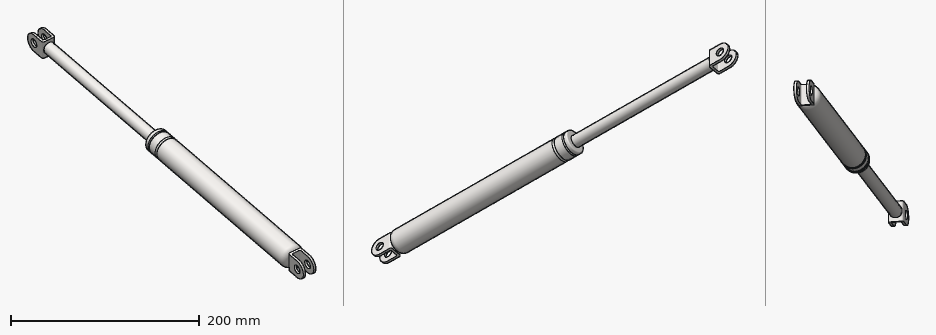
import cadquery as cq

overall_length = 491.0
half_length = overall_length / 2

clevis_length = 27.0
clevis_height = 22.5
clevis_width = 16.5
strap_thickness = 3.0
outer_bend_radius = 2.5
inner_bend_radius = 1.5
eye_diameter = 10.0
eye_radius = clevis_height / 2

tube_diameter = 28.0
tube_radius = tube_diameter / 2
tube_front = -28.5
front_edge_radius = 1.5
rear_edge_radius = 7.0
rod_diameter = 14.0

groove_centers = [-22.5, -9.5]
groove_widths = [2.0, 3.0]
groove_depth = 1.0

web_position = half_length - clevis_length


def cylinder_along_x(diameter, start, end):
    return cq.Workplane("YZ", origin=(start, 0, 0)).circle(diameter / 2).extrude(end - start)


def make_clevis():
    """Rear clevis, with its web on the -X side and its round eyes at +X."""
    eye_center = half_length - eye_radius
    side_profile = (
        cq.Workplane("XZ")
        .moveTo(web_position, -eye_radius)
        .lineTo(eye_center, -eye_radius)
        .threePointArc((half_length, 0), (eye_center, eye_radius))
        .lineTo(web_position, eye_radius)
        .close()
        .extrude(clevis_width / 2, both=True)
    )
    bent_block = side_profile.edges("<X and |Z").fillet(outer_bend_radius)
    slot_start = web_position + strap_thickness
    slot = (
        cq.Workplane("XY")
        .box(clevis_length, clevis_width - 2 * strap_thickness, clevis_height, centered=(False, True, True))
        .edges("<X and |Z")
        .fillet(inner_bend_radius)
        .translate((slot_start, 0, 0))
    )
    eyes = (
        cq.Workplane("XZ", origin=(eye_center, 0, 0))
        .circle(eye_diameter / 2)
        .extrude(clevis_width, both=True)
    )
    return bent_block.cut(slot).cut(eyes)


def groove_cutter(center, width):
    """Ring whose section is a shallow arc that dips below the tube surface."""
    return (
        cq.Workplane("XY")
        .moveTo(center - width / 2, tube_radius)
        .threePointArc((center, tube_radius - groove_depth), (center + width / 2, tube_radius))
        .close()
        .revolve(360, (0, 0, 0), (1, 0, 0))
    )


def make_cylinder():
    """Closed tube with rounded ends, grooves and rear clevis."""
    tube = cylinder_along_x(tube_diameter, tube_front, web_position)
    tube = tube.faces("<X").edges().fillet(front_edge_radius)
    tube = tube.faces(">X").edges().fillet(rear_edge_radius)
    for center, width in zip(groove_centers, groove_widths):
        tube = tube.cut(groove_cutter(center, width))
    return tube.union(make_clevis())


def make_piston_rod():
    """Rod that ends on the front face of the tube, with the mirrored clevis."""
    rod = cylinder_along_x(rod_diameter, -web_position, tube_front)
    return rod.union(make_clevis().mirror("YZ"))


cylinder = make_cylinder()
piston_rod = make_piston_rod()

result = cq.Compound.makeCompound([cylinder.val(), piston_rod.val()])